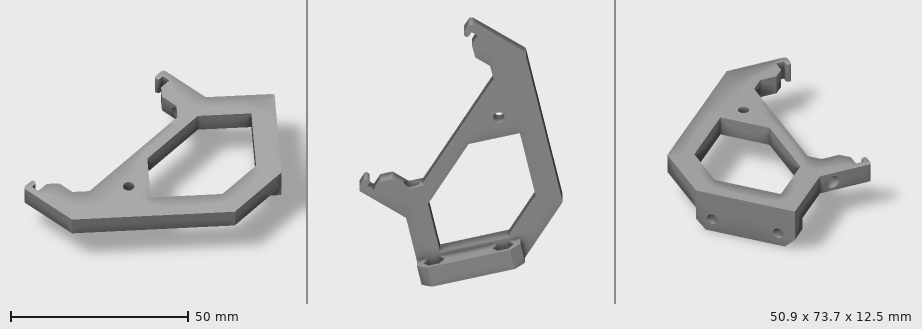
import cadquery as cq
import math

plate_thickness = 5.75
arm_height = 60.0
arm_underside = 8.0
wall_left = 14.9
wall_thickness = 4.1
part_width = 50.92
part_depth = 73.74
right_side_length = 20.0
upper_corner_leg = 2.95
lower_corner_leg = 3.4

hook_thickness = 1.6
slot_right = 4.0
slot_depth = 2.0
hook_reach = 4.0
arm_tip_leg = 2.5
hook_outer_radius = 1.0
hook_tip_radius = 0.7

block_length = 30.0
block_thickness = 6.0
block_height = 6.75
block_chamfer = 3.0
nut_inset = 5.0
nut_sides = 6
nut_across_flats = 5.5
nut_depth = 3.0
screw_diameter = 3.2

frame_width = 7.0
right_bar_width = 7.1
window_bottom_x = 29.5
mount_hole_x = 22.0
mount_hole_y = 20.1
mount_hole_diameter = 3.2
bore_diameter = 4.0
bore_x = 12.2
bore_length = arm_underside + upper_corner_leg

diagonal = math.sqrt(2)
edge_leg = block_length / diagonal
apex_x = part_width - edge_leg
right_high_y = part_depth - edge_leg
right_low_y = right_high_y - right_side_length
bottom_edge_end = part_width - right_low_y
frame_offset = frame_width * diagonal


def hook_corners():
    """Corners of one clip arm from its outer corner to the arm underside.

    Each is (x, distance from the outer side of the arm).
    """
    return [
        (0, 0),
        (0, hook_reach),
        (hook_thickness, hook_reach),
        (hook_thickness, slot_depth),
        (slot_right, slot_depth),
        (slot_right, arm_underside - arm_tip_leg),
        (slot_right + arm_tip_leg, arm_underside),
    ]


def extrude_plate(points):
    return cq.Workplane("XY").polyline(points).close().extrude(-plate_thickness)


def round_upright_edge(body, x, y, radius):
    margin = hook_thickness / 4
    corner = cq.selectors.BoxSelector(
        (x - margin, y - margin, -plate_thickness), (x + margin, y + margin, 0)
    )
    return body.edges(corner).fillet(radius)


def make_plate():
    lower_arm = hook_corners()
    upper_arm = [(x, arm_height - y) for x, y in reversed(hook_corners())]
    wall = [
        (wall_left - lower_corner_leg, arm_underside),
        (wall_left, arm_underside + lower_corner_leg),
        (wall_left, arm_height - arm_underside - upper_corner_leg),
        (wall_left - upper_corner_leg, arm_height - arm_underside),
    ]
    frame = [
        (apex_x - (part_depth - arm_height), arm_height),
        (apex_x, part_depth),
        (part_width, right_high_y),
        (part_width, right_low_y),
        (bottom_edge_end, 0),
    ]
    plate = extrude_plate(lower_arm + wall + upper_arm + frame)
    for x in (0, hook_thickness):
        for y in (hook_reach, arm_height - hook_reach):
            plate = round_upright_edge(plate, x, y, hook_tip_radius)
    for y in (0, arm_height):
        plate = round_upright_edge(plate, 0, y, hook_outer_radius)
    return plate


def make_window():
    left = wall_left + wall_thickness
    right = part_width - right_bar_width
    top_y = part_depth - frame_offset
    lower_slope = frame_offset - bottom_edge_end
    bottom_y = window_bottom_x + lower_slope
    return extrude_plate([
        (apex_x, top_y),
        (left, top_y - (apex_x - left)),
        (left, bottom_y + (window_bottom_x - left)),
        (window_bottom_x, bottom_y),
        (right, right + lower_slope),
        (right, top_y - (right - apex_x)),
    ])


def outer_edge_plane():
    """Plane on the upper right edge, with its origin at the apex.

    Local x runs up the edge, local y is Z and the normal points outward.
    """
    return cq.Plane(origin=(apex_x, part_depth, 0), xDir=(-1, 1, 0), normal=(1, 1, 0))


def make_block():
    top = -plate_thickness
    bottom = top - block_height
    shoulder = bottom + block_chamfer
    block = (
        cq.Workplane(outer_edge_plane())
        .polyline([
            (0, top),
            (0, shoulder),
            (-block_chamfer, bottom),
            (block_chamfer - block_length, bottom),
            (-block_length, shoulder),
            (-block_length, top),
        ])
        .close()
        .extrude(-block_thickness)
    )
    nut_z = top - nut_across_flats / 2
    nut_places = [(-nut_inset, nut_z), (nut_inset - block_length, nut_z)]
    nut_across_corners = nut_across_flats / math.cos(math.pi / nut_sides)
    screws = (
        cq.Workplane(outer_edge_plane())
        .pushPoints(nut_places)
        .circle(screw_diameter / 2)
        .extrude(-block_thickness)
    )
    nuts = (
        cq.Workplane(outer_edge_plane())
        .workplane(offset=-block_thickness)
        .pushPoints(nut_places)
        .polygon(nut_sides, nut_across_corners)
        .extrude(nut_depth)
    )
    return block.cut(screws).cut(nuts)


def make_mount_hole():
    return (
        cq.Workplane("XY")
        .center(mount_hole_x, mount_hole_y)
        .circle(mount_hole_diameter / 2)
        .extrude(-plate_thickness)
    )


def make_bore():
    """Bore along Y through the upper arm, at half the plate thickness."""
    return (
        cq.Workplane("XZ", origin=(bore_x, arm_height, -plate_thickness / 2))
        .circle(bore_diameter / 2)
        .extrude(bore_length)
    )


body = make_plate().cut(make_window()).union(make_block())
result = body.cut(make_mount_hole()).cut(make_bore())